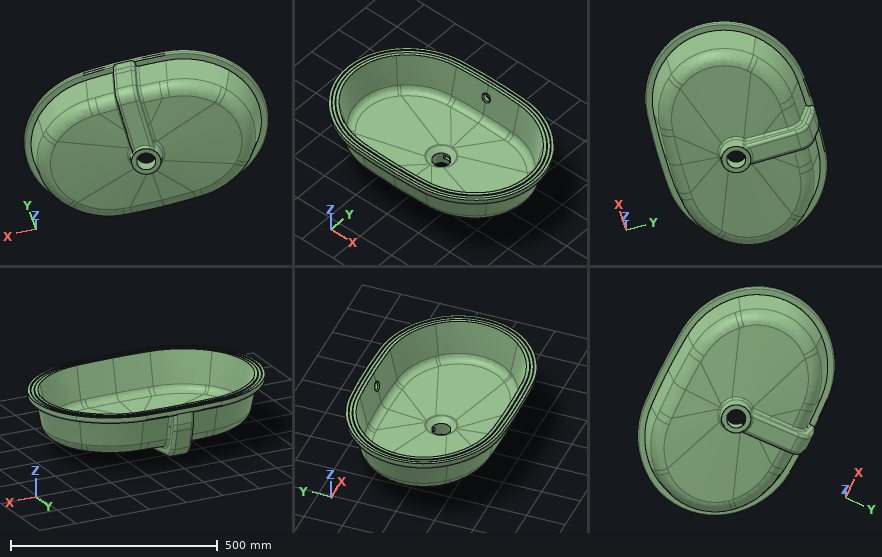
import cadquery as cq
import math

half_length = 301.0
half_depth = 201.0
end_radius = 186.0
end_angle = math.radians(41.6)
shoulder_angle = math.radians(86.4)

total_height = 156.5
rim_thickness = 15.0
rim_fillet = 3.5

groove_outer = 7.0
groove_inner = 18.0
groove_slope = 2.0
groove_depth = 2.0

shell_top_inset = 18.0
shell_corner_inset = 38.0
shell_corner_z = -112.0
shell_fillet = 35.0
neck_top_radius = 40.0
neck_bottom_radius = 35.5
neck_top_z = -121.5
neck_fillet = 6.0

bowl_top_inset = 26.0
bowl_corner_inset = 49.0
bowl_corner_z = -99.5
bowl_fillet = 21.5
drain_seat_radius = 38.5
drain_seat_z = -110.0
drain_seat_fillet = 5.0
drain_hole_radius = 23.0
drain_hole_z = -123.0

overflow_diameter = 20.0
overflow_chamfer = 3.0
overflow_z = -38.0
overflow_depth = 24.0
channel_width = 54.0
channel_bend_z = -48.0
channel_bend_radius = 78.0
channel_corner = (182.0, -133.0)
channel_end_z = -154.0
channel_corner_radius = 36.0
channel_edge_fillet = 8.0
channel_root_fillet = 6.0
channel_root_point = (176.0, -50.5)
channel_run_middle = (91.0, -144.0)

passage_inset = 11.0
passage_gap = 10.0
passage_width = overflow_diameter
passage_top_z = -24.0


def arc_chain():
    """Return (centre x, centre y, radius, stop angle) of the three arcs in the first quadrant."""
    end_x = half_length - end_radius
    cos_end, sin_end = math.cos(end_angle), math.sin(end_angle)
    flatness = (1 - math.sin(shoulder_angle)) / math.cos(shoulder_angle)
    shoulder_radius = (
        half_depth - end_radius * sin_end - flatness * (end_x + end_radius * cos_end)
    ) / (1 - sin_end - flatness * cos_end)
    shoulder_x = end_x + (end_radius - shoulder_radius) * cos_end
    shoulder_y = (end_radius - shoulder_radius) * sin_end
    long_radius = shoulder_radius + shoulder_x / math.cos(shoulder_angle)
    return [
        (end_x, 0.0, end_radius, end_angle),
        (shoulder_x, shoulder_y, shoulder_radius, shoulder_angle),
        (0.0, half_depth - long_radius, long_radius, math.pi / 2),
    ]


def ring(arcs, inset, z):
    """Closed wire through one quadrant of arcs, moved inward and mirrored about X and Y."""

    def point(arc, angle):
        x, y, radius, _ = arc
        return (
            x + (radius - inset) * math.cos(angle),
            y + (radius - inset) * math.sin(angle),
        )

    end, shoulder, long_side = arcs
    tip = point(end, 0)
    end_stop = point(end, end[3])
    shoulder_mid = point(shoulder, (end[3] + shoulder[3]) / 2)
    shoulder_stop = point(shoulder, shoulder[3])
    long_mid = point(long_side, (shoulder[3] + math.pi / 2) / 2)
    crest = point(long_side, math.pi / 2)

    def flip(p, sx, sy):
        return (sx * p[0], sy * p[1])

    outline = cq.Workplane("XY", origin=(0, 0, z)).moveTo(*flip(crest, 1, -1))
    for side in (1, -1):
        outline = outline.threePointArc(flip(long_mid, side, -side), flip(shoulder_stop, side, -side))
        outline = outline.threePointArc(flip(shoulder_mid, side, -side), flip(end_stop, side, -side))
        outline = outline.threePointArc(flip(tip, side, side), flip(end_stop, side, side))
        outline = outline.threePointArc(flip(shoulder_mid, side, side), flip(shoulder_stop, side, side))
        outline = outline.threePointArc(flip(long_mid, side, side), flip(crest, side, side))
    return outline.close().val()


def oval(inset, z):
    """Rim outline moved inward by the inset."""
    return ring(arc_chain(), inset, z)


def circle(radius, z):
    """Circle split at the same angles as the oval, so that the two can be joined."""
    return ring([(0, 0, radius, angle) for angle in (end_angle, shoulder_angle, math.pi / 2)], 0, z)


def between(lower, upper):
    """Solid with straight sides from one closed wire to another."""
    return cq.Workplane(cq.Solid.makeLoft([lower, upper], True))


def cone(radius_low, z_low, radius_high, z_high):
    solid = cq.Solid.makeCone(radius_low, radius_high, z_high - z_low, cq.Vector(0, 0, z_low))
    return cq.Workplane(solid)


def edges_at(z):
    """Selector for the edges lying wholly at one height."""
    margin = 0.5
    low = (-half_length, -half_depth, z - margin)
    high = (half_length, half_depth, z + margin)
    return cq.selectors.BoxSelector(low, high, boundingbox=True)


def make_rim():
    rim = between(oval(0, -rim_thickness), oval(0, 0))
    return rim.faces("<Z").edges().fillet(rim_fillet)


def make_groove():
    outer = between(oval(groove_outer + groove_slope, -groove_depth), oval(groove_outer, 0))
    island = between(oval(groove_inner - groove_slope, -groove_depth), oval(groove_inner, 0))
    return outer.cut(island)


def make_shell():
    corner = oval(shell_corner_inset, shell_corner_z)
    wall = between(corner, oval(shell_top_inset, -rim_thickness))
    floor = between(circle(neck_top_radius, neck_top_z), corner)
    shell = wall.union(floor)
    shell = shell.edges(edges_at(shell_corner_z)).fillet(shell_fillet)
    neck = cone(neck_bottom_radius, -total_height, neck_top_radius, neck_top_z)
    shell = shell.union(neck)
    return shell.edges(edges_at(neck_top_z)).fillet(neck_fillet)


def make_bowl():
    """Hollow of the basin down to the bottom of the conical drain seat."""
    corner = oval(bowl_corner_inset, bowl_corner_z)
    wall = between(corner, oval(bowl_top_inset, 0))
    floor = between(circle(drain_seat_radius, drain_seat_z), corner)
    bowl = wall.union(floor)
    bowl = bowl.edges(edges_at(bowl_corner_z)).fillet(bowl_fillet)
    seat = cone(drain_hole_radius, drain_hole_z, drain_seat_radius, drain_seat_z)
    bowl = bowl.union(seat)
    return bowl.edges(edges_at(drain_seat_z)).fillet(drain_seat_fillet)


def channel_path(inset):
    """Y-Z points down the back of the channel, moved inward by the inset."""
    corners = [
        (half_depth, rim_fillet - rim_thickness),
        (half_depth, channel_bend_z),
        channel_corner,
        (0.0, channel_end_z),
    ]
    directions = []
    for (y_from, z_from), (y_to, z_to) in zip(corners, corners[1:]):
        length = math.hypot(y_to - y_from, z_to - z_from)
        directions.append(((y_to - y_from) / length, (z_to - z_from) / length))
    points = []
    for (y, z), before, after in zip(corners, directions[:1] + directions, directions + directions[-1:]):
        scale = inset / (1 + before[0] * after[0] + before[1] * after[1])
        points.append((y + scale * (before[1] + after[1]), z - scale * (before[0] + after[0])))
    return points


def channel_block(inset, width):
    """Everything between the inset channel path and the middle of the basin."""
    path = channel_path(inset)
    block = cq.Workplane("YZ").polyline(path + [(0.0, 0.0)]).close().extrude(width / 2, both=True)
    for (y, z), radius in zip(path[1:3], (channel_bend_radius, channel_corner_radius)):
        corner_edge = cq.selectors.NearestToPointSelector((0, y, z))
        block = block.edges(corner_edge).fillet(radius - inset)
    return block


def make_channel():
    channel = channel_block(0, channel_width)
    for side in (-1, 1):
        back_edge = cq.selectors.NearestToPointSelector((side * channel_width / 2, *channel_run_middle))
        channel = channel.edges(back_edge).fillet(channel_edge_fillet)
    return channel


def make_passage():
    """Water way that follows the back of the channel from the overflow hole to the drain hole."""
    front = channel_block(passage_inset + passage_gap, passage_width)
    passage = channel_block(passage_inset, passage_width).cut(front)
    above = cq.Workplane().box(passage_width, 2 * half_depth, -2 * passage_top_z)
    return passage.cut(above)


def make_overflow_hole():
    """Countersunk hole square to the tapered back wall of the bowl."""
    taper = (bowl_corner_inset - bowl_top_inset) / bowl_corner_z
    wall_y = half_depth - bowl_top_inset - taper * overflow_z
    start = cq.Vector(0, wall_y - overflow_chamfer, overflow_z - taper * overflow_chamfer)
    direction = cq.Vector(0, 1, taper)
    radius = overflow_diameter / 2
    mouth_length = 2 * overflow_chamfer
    hole = cq.Solid.makeCylinder(radius, overflow_depth, start, direction)
    mouth = cq.Solid.makeCone(radius + mouth_length, radius, mouth_length, start, direction)
    return cq.Workplane(hole).union(cq.Workplane(mouth))


def make_drain_hole():
    length = drain_hole_z + total_height
    return cq.Workplane("XY", origin=(0, 0, -total_height)).circle(drain_hole_radius).extrude(length)


def make_outside():
    """Rim, shell and channel, with a small fillet where the channel sides meet the shell."""
    outside = make_rim().union(make_shell()).union(make_channel())
    near_left, near_right = (
        cq.selectors.NearestToPointSelector((side * channel_width / 2, *channel_root_point))
        for side in (-1, 1)
    )
    return outside.edges(near_left + near_right).fillet(channel_root_fillet)


result = (
    make_outside()
    .cut(make_groove())
    .cut(make_bowl())
    .cut(make_passage())
    .cut(make_overflow_hole())
    .cut(make_drain_hole())
)